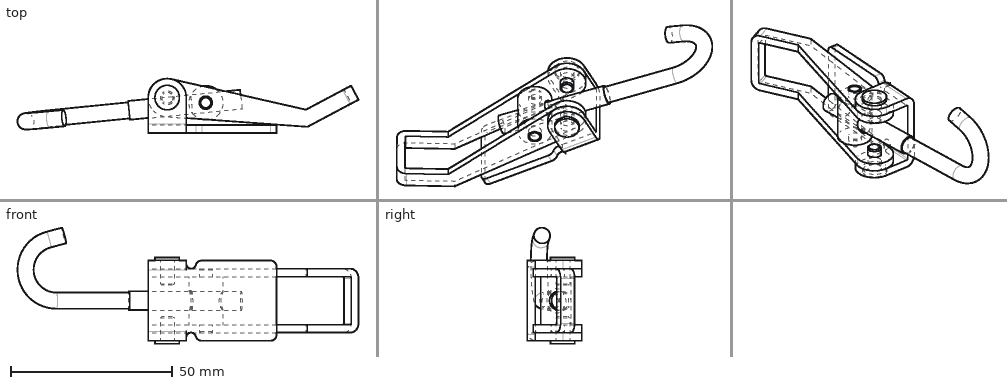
import cadquery as cq
import math


SHEET = 2.5
BEND_OUTER = 3.0
BEND_INNER = BEND_OUTER - SHEET
EAR_RADIUS = 5.9

BRACKET_HEIGHT = 25.0
PLATE_END_X = 34.0
PLATE_FACE_Y = -11.0
PLATE_CORNER = 2.0
RELIEF_RADIUS = 1.5
RELIEF_DEPTH = 2.5

LEVER_HEIGHT = BRACKET_HEIGHT - 2 * SHEET
LEVER_GAP = LEVER_HEIGHT - 2 * SHEET
KNEE_X = 43.6
KNEE_Y = -9.1
HANDLE_ANGLE = 28.0
HANDLE_LENGTH = 18.0
HANDLE_INNER = 15.9
HANDLE_WIDTH = 5.0

HEAD_RADIUS = 3.8
HEAD_HEIGHT = 1.0
SHANK_RADIUS = 2.1
SHANK_PROJECTION = 2.5
PIN_CHAMFER = 0.4

BARREL_X = 12.0
BARREL_Y = -1.6
BARREL_RADIUS = 5.3
TRUNNION_RADIUS = 2.0
COUNTERSINK_RADIUS = 3.8

HOOK_TILT = 5.7
HOOK_ROLL = -1.2
ROD_RADIUS = 2.5
THREAD_RADIUS = 3.0
THREAD_LENGTH = 35.0
THREAD_TAIL = 11.0
ROD_LENGTH = 46.6
HOOK_BEND_RADIUS = 9.6
HOOK_BEND_ANGLE = 165.0
TIP_LENGTH = 5.0


def cylinder(x, y, z_low, z_high, radius):
    """Upright cylinder between two heights."""
    return cq.Workplane("XY", origin=(x, y, z_low)).circle(radius).extrude(z_high - z_low)


def tangent_point(x, y, side):
    """Where the line from (x, y) touches the arm end circle; side is +1 above, -1 below."""
    angle = math.atan2(y, x) + side * math.acos(EAR_RADIUS / math.hypot(x, y))
    return EAR_RADIUS * math.cos(angle), EAR_RADIUS * math.sin(angle)


def relief_notch():
    """Prism of the upper relief notch: a round bottom running into a rounded plate corner."""
    top = BRACKET_HEIGHT / 2
    bottom_x = EAR_RADIUS + RELIEF_RADIUS
    bottom_z = top - RELIEF_DEPTH + RELIEF_RADIUS
    corner_z = top - PLATE_CORNER
    centre_distance = RELIEF_RADIUS + PLATE_CORNER
    angle = math.asin((corner_z - bottom_z) / centre_distance)
    corner_x = bottom_x + centre_distance * math.cos(angle)
    meet = (bottom_x + RELIEF_RADIUS * math.cos(angle), bottom_z + RELIEF_RADIUS * math.sin(angle))
    halfway = PLATE_CORNER * math.sqrt(0.5)
    corner_middle = (corner_x - halfway, corner_z + halfway)
    return (
        cq.Workplane("XZ", origin=(0, PLATE_FACE_Y, 0))
        .moveTo(EAR_RADIUS, top)
        .lineTo(EAR_RADIUS, bottom_z)
        .threePointArc((bottom_x, bottom_z - RELIEF_RADIUS), meet)
        .threePointArc(corner_middle, (corner_x, top))
        .close()
        .extrude(-SHEET)
    )


def make_bracket():
    """Base plate with two round ears folded up from it."""
    ears = (
        cq.Workplane("XY", origin=(0, 0, -BRACKET_HEIGHT / 2))
        .moveTo(-EAR_RADIUS, PLATE_FACE_Y)
        .lineTo(EAR_RADIUS, PLATE_FACE_Y)
        .lineTo(EAR_RADIUS, 0)
        .threePointArc((0, EAR_RADIUS), (-EAR_RADIUS, 0))
        .close()
        .extrude(BRACKET_HEIGHT)
        .edges("|X and <Y")
        .fillet(BEND_OUTER)
    )
    channel_depth = EAR_RADIUS - PLATE_FACE_Y
    channel = (
        cq.Workplane("XY", origin=(0, PLATE_FACE_Y + SHEET + channel_depth / 2, 0))
        .box(2 * EAR_RADIUS, channel_depth, LEVER_HEIGHT)
        .edges("|X and <Y")
        .fillet(BEND_INNER)
    )
    plate = (
        cq.Workplane("XY", origin=((PLATE_END_X + EAR_RADIUS) / 2, PLATE_FACE_Y + SHEET / 2, 0))
        .box(PLATE_END_X - EAR_RADIUS, SHEET, BRACKET_HEIGHT)
        .edges("|Y and >X")
        .fillet(PLATE_CORNER)
    )
    notch = relief_notch()
    plate = plate.cut(notch).cut(notch.mirror("XY"))
    rivet_hole = cylinder(0, 0, -BRACKET_HEIGHT / 2, BRACKET_HEIGHT / 2, SHANK_RADIUS)
    return ears.cut(channel).union(plate).cut(rivet_hole)


def lever_strip(end_corner, along, across):
    """U-shaped band seen square to the handle, deep enough to cover the whole lever side outline."""
    band_length = 2 * KNEE_X
    frame = cq.Plane(origin=(*end_corner, 0), xDir=(*along, 0), normal=(*across, 0))
    outer = (
        cq.Workplane(frame)
        .center(-band_length / 2, 0)
        .rect(band_length, LEVER_HEIGHT)
        .extrude(band_length, both=True)
        .edges(cq.selectors.ParallelDirSelector(frame.zDir))
        .edges(cq.selectors.DirectionMinMaxSelector(frame.xDir))
        .fillet(BEND_OUTER)
    )
    inner = (
        cq.Workplane(frame)
        .center(-SHEET - band_length / 2, 0)
        .rect(band_length, LEVER_GAP)
        .extrude(band_length, both=True)
        .edges(cq.selectors.ParallelDirSelector(frame.zDir))
        .edges(cq.selectors.DirectionMinMaxSelector(frame.xDir))
        .fillet(BEND_INNER)
    )
    return outer.cut(inner)


def make_lever():
    """Two tapered arms joined by a wall across the end of the bent handle."""
    angle = math.radians(HANDLE_ANGLE)
    along = (math.cos(angle), math.sin(angle))
    across = (-math.sin(angle), math.cos(angle))
    low_end = (KNEE_X + HANDLE_LENGTH * along[0], KNEE_Y + HANDLE_LENGTH * along[1])
    high_end = (low_end[0] + HANDLE_WIDTH * across[0], low_end[1] + HANDLE_WIDTH * across[1])
    high_knee = (high_end[0] - HANDLE_INNER * along[0], high_end[1] - HANDLE_INNER * along[1])

    sides = (
        cq.Workplane("XY", origin=(0, 0, -LEVER_HEIGHT / 2))
        .moveTo(*tangent_point(KNEE_X, KNEE_Y, -1))
        .lineTo(KNEE_X, KNEE_Y)
        .lineTo(*low_end)
        .lineTo(*high_end)
        .lineTo(*high_knee)
        .lineTo(*tangent_point(*high_knee, 1))
        .threePointArc((-EAR_RADIUS, 0), tangent_point(KNEE_X, KNEE_Y, -1))
        .close()
        .extrude(LEVER_HEIGHT)
    )
    lever = sides.intersect(lever_strip(low_end, along, across))
    for x, y, radius in ((0, 0, SHANK_RADIUS), (BARREL_X, BARREL_Y, TRUNNION_RADIUS)):
        lever = lever.cut(cylinder(x, y, -LEVER_HEIGHT / 2, LEVER_HEIGHT / 2, radius))
    return lever


def make_rivet(side):
    """Headed rivet through one ear and one arm; side is +1 above, -1 below."""
    shank_tip = LEVER_GAP / 2 - SHANK_PROJECTION
    ear_face = BRACKET_HEIGHT / 2
    shank = cylinder(0, 0, shank_tip, ear_face, SHANK_RADIUS).faces("<Z").chamfer(PIN_CHAMFER)
    rivet = shank.union(cylinder(0, 0, ear_face, ear_face + HEAD_HEIGHT, HEAD_RADIUS))
    return rivet if side > 0 else rivet.mirror("XY")


def hook_frame(distance):
    """Plane square to the tilted hook axis, at a distance from the barrel axis toward the hook."""
    tilt = math.radians(HOOK_TILT)
    toward_hook = (-math.cos(tilt), -math.sin(tilt), 0)
    origin = (BARREL_X + distance * toward_hook[0], BARREL_Y + distance * toward_hook[1], 0)
    return cq.Plane(origin=origin, xDir=(0, 0, 1), normal=toward_hook).rotated((0, 0, HOOK_ROLL))


def hook_thread():
    """Thicker threaded length of the hook, running through the barrel."""
    return cq.Workplane(hook_frame(-THREAD_TAIL)).circle(THREAD_RADIUS).extrude(THREAD_LENGTH)


def make_hook():
    """Round rod with a threaded length at one end and a bent hook with a straight tip at the other."""
    rod_start = THREAD_LENGTH - THREAD_TAIL
    rod = cq.Workplane(hook_frame(rod_start)).circle(ROD_RADIUS).extrude(ROD_LENGTH - rod_start)
    bend = (
        cq.Workplane(hook_frame(ROD_LENGTH))
        .circle(ROD_RADIUS)
        .revolve(HOOK_BEND_ANGLE, (HOOK_BEND_RADIUS, 0, 0), (HOOK_BEND_RADIUS, 1, 0))
    )
    tip_frame = hook_frame(ROD_LENGTH)
    bend_centre = tip_frame.toWorldCoords((HOOK_BEND_RADIUS, 0, 0))
    tip = cq.Workplane(tip_frame).circle(ROD_RADIUS).extrude(TIP_LENGTH)
    tip = tip.rotate(bend_centre, bend_centre + tip_frame.yDir, HOOK_BEND_ANGLE)
    return hook_thread().union(rod).union(bend).union(tip)


def bore_countersink():
    """45 degree cone that opens the mouth of the bore on the hook side."""
    tip = BARREL_RADIUS - COUNTERSINK_RADIUS
    axis = hook_frame(0)
    tip_point = axis.toWorldCoords((0, 0, tip))
    cone = cq.Solid.makeCone(0, COUNTERSINK_RADIUS, COUNTERSINK_RADIUS, tip_point, axis.zDir)
    return cq.Workplane(obj=cone)


def make_barrel():
    """Cross barrel between the lever arms, with trunnions in the arms and a bore for the hook."""
    trunnions = cylinder(BARREL_X, BARREL_Y, -LEVER_HEIGHT / 2, LEVER_HEIGHT / 2, TRUNNION_RADIUS)
    trunnions = trunnions.faces("<Z or >Z").chamfer(PIN_CHAMFER)
    body = cylinder(BARREL_X, BARREL_Y, -LEVER_GAP / 2, LEVER_GAP / 2, BARREL_RADIUS)
    return body.union(trunnions).cut(hook_thread()).cut(bore_countersink())


bracket = make_bracket()
lever = make_lever()
rivets = [make_rivet(side) for side in (1, -1)]
hook = make_hook()
barrel = make_barrel()

result = cq.Compound.makeCompound([
    bracket.val(),
    lever.val(),
    *[rivet.val() for rivet in rivets],
    hook.val(),
    barrel.val(),
])